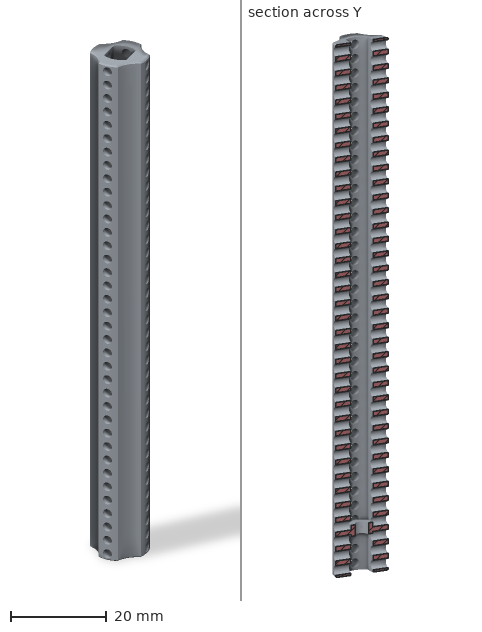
import cadquery as cq

hole_pitch = 3.125
hole_count = 37
width = 4 * hole_pitch
length = hole_count * hole_pitch
hole_diameter = 2.0

lobe_half_width = 2.2
lobe_edge = 5.85
groove_middle = 3.6
bore_half_width = 2.55
bore_corner_y = 2.4
bore_crown_y = 3.25

web_thickness = 2.5
web_top = 3.5 * hole_pitch
web_bottom = web_top - web_thickness
screw_hole_diameter = 3.0

end_chamfer = 0.3


def quarter_turn(point, turns):
    """Rotate an XY point about the beam axis by a number of quarter turns."""
    x, y = point
    for _ in range(turns):
        x, y = -y, x
    return (x, y)


def make_bar():
    """Solid bar with four crowned lobes and grooves between them."""
    outline = cq.Workplane("XY").moveTo(lobe_edge, -lobe_half_width)
    for turns in range(4):
        crown = quarter_turn((width / 2, 0), turns)
        crown_end = quarter_turn((lobe_edge, lobe_half_width), turns)
        groove = quarter_turn((groove_middle, groove_middle), turns)
        groove_end = quarter_turn((lobe_half_width, lobe_edge), turns)
        outline = outline.threePointArc(crown, crown_end).threePointArc(groove, groove_end)
    bar = outline.close().extrude(length)
    return bar.faces("<Z or >Z").chamfer(end_chamfer)


def make_bore(bottom, height):
    """Column that fills the bore over a given height: flat X walls, bowed Y walls."""
    return (
        cq.Workplane("XY")
        .workplane(offset=bottom)
        .moveTo(bore_half_width, -bore_corner_y)
        .lineTo(bore_half_width, bore_corner_y)
        .threePointArc((0, bore_crown_y), (-bore_half_width, bore_corner_y))
        .lineTo(-bore_half_width, -bore_corner_y)
        .threePointArc((0, -bore_crown_y), (bore_half_width, -bore_corner_y))
        .close()
        .extrude(height)
    )


def make_side_holes():
    """One row of holes through each pair of opposite lobes."""
    centres = [(0, (index + 0.5) * hole_pitch) for index in range(hole_count)]
    holes = cq.Workplane("XY")
    for plane in ("XZ", "YZ"):
        row = cq.Workplane(plane).pushPoints(centres).circle(hole_diameter / 2)
        holes = holes.add(row.extrude(width / 2, both=True))
    return holes.combine()


def make_web():
    """Plate across the bore with a central screw hole."""
    web = make_bore(web_bottom, web_thickness)
    return web.faces(">Z").workplane().hole(screw_hole_diameter)


tube = make_bar().cut(make_bore(0, length)).cut(make_side_holes())
result = tube.union(make_web())